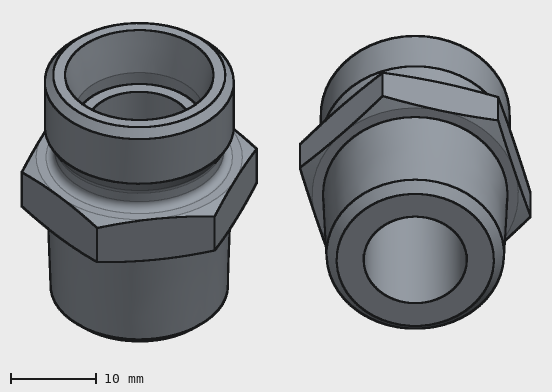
import cadquery as cq
import math

total_height = 32.0
hex_bottom = 14.0
hex_top = 20.0
end_chamfer_height = 1.2
head_cone_top = 24.48

spigot_tip_radius = 9.15
spigot_radius = 10.35
taper_ratio = 1 / 32
spigot_root_radius = spigot_radius + taper_ratio * (hex_bottom - end_chamfer_height)

across_flats = 24.0
across_corners = across_flats / math.cos(math.radians(30))
hex_chamfer_angle = math.radians(15)

head_radius = 22.0 / 2
head_chamfer = 1.0
groove_radius = 19.7 / 2
groove_fillet = 1.0
groove_cone_angle = math.radians(30)

through_diameter = 12.0
socket_radius = 15.0 / 2
socket_depth = 7.0
seat_mouth_radius = 8.65
seat_half_angle = math.radians(12)


def make_hexagon():
    """Hexagonal collar with its corners chamfered above and below."""
    height = hex_top - hex_bottom
    flat_radius = across_flats / 2
    corner_radius = across_corners / 2
    drop = (corner_radius - flat_radius) * math.tan(hex_chamfer_angle)
    prism = (
        cq.Workplane("XY", origin=(0, 0, hex_bottom))
        .polygon(6, across_corners)
        .extrude(height)
        .rotate((0, 0, 0), (0, 0, 1), 30)
    )
    envelope = (
        cq.Workplane("XZ")
        .moveTo(0, hex_bottom)
        .lineTo(flat_radius, hex_bottom)
        .lineTo(corner_radius, hex_bottom + drop)
        .lineTo(corner_radius, hex_top - drop)
        .lineTo(flat_radius, hex_top)
        .lineTo(0, hex_top)
        .close()
        .revolve(360, (0, 0, 0), (0, 1, 0))
    )
    return prism.intersect(envelope)


def make_turned_body():
    """Spigot, groove and head, turned as one solid about Z."""
    arc_end_radius = groove_radius + groove_fillet * (1 - math.cos(groove_cone_angle))
    cone_height = (head_radius - arc_end_radius) / math.tan(groove_cone_angle)
    arc_end_z = head_cone_top - cone_height
    arc_start_z = arc_end_z - groove_fillet * math.sin(groove_cone_angle)
    half_angle = groove_cone_angle / 2
    arc_mid = (
        groove_radius + groove_fillet * (1 - math.cos(half_angle)),
        arc_start_z + groove_fillet * math.sin(half_angle),
    )
    fillet_mid_offset = groove_fillet * (1 - math.sqrt(0.5))
    return (
        cq.Workplane("XZ")
        .lineTo(spigot_tip_radius, 0)
        .lineTo(spigot_radius, end_chamfer_height)
        .lineTo(spigot_root_radius, hex_bottom)
        .lineTo(groove_radius + groove_fillet, hex_top)
        .threePointArc(
            (groove_radius + fillet_mid_offset, hex_top + fillet_mid_offset),
            (groove_radius, hex_top + groove_fillet),
        )
        .lineTo(groove_radius, arc_start_z)
        .threePointArc(arc_mid, (arc_end_radius, arc_end_z))
        .lineTo(head_radius, head_cone_top)
        .lineTo(head_radius, total_height - head_chamfer)
        .lineTo(head_radius - head_chamfer, total_height)
        .lineTo(0, total_height)
        .close()
        .revolve(360, (0, 0, 0), (0, 1, 0))
    )


def make_bore():
    """Through hole, flat-bottomed socket and conical seat."""
    through_radius = through_diameter / 2
    socket_floor = total_height - socket_depth
    seat_depth = (seat_mouth_radius - socket_radius) / math.tan(seat_half_angle)
    return (
        cq.Workplane("XZ")
        .lineTo(through_radius, 0)
        .lineTo(through_radius, socket_floor)
        .lineTo(socket_radius, socket_floor)
        .lineTo(socket_radius, total_height - seat_depth)
        .lineTo(seat_mouth_radius, total_height)
        .lineTo(0, total_height)
        .close()
        .revolve(360, (0, 0, 0), (0, 1, 0))
    )


result = make_turned_body().union(make_hexagon()).cut(make_bore())